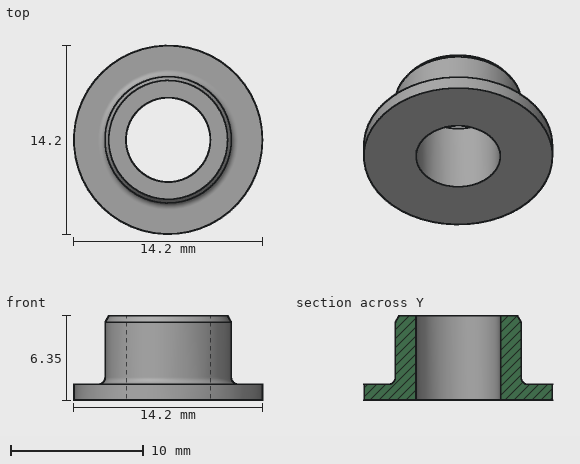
import cadquery as cq
import math

flange_diameter = 14.22
flange_thickness = 1.2
total_height = 6.35
barrel_diameter = 9.53
bore_diameter = 6.34

chamfer_height = 0.5
chamfer_angle = 30.0
chamfer_width = chamfer_height * math.tan(math.radians(chamfer_angle))

root_fillet_radius = 0.5

flange_radius = flange_diameter / 2
barrel_radius = barrel_diameter / 2
bore_radius = bore_diameter / 2
fillet_top = flange_thickness + root_fillet_radius

half_section = (
    cq.Workplane("XZ")
    .moveTo(bore_radius, 0)
    .lineTo(flange_radius, 0)
    .lineTo(flange_radius, flange_thickness)
    .lineTo(barrel_radius + root_fillet_radius, flange_thickness)
    .radiusArc((barrel_radius, fillet_top), root_fillet_radius)
    .lineTo(barrel_radius, total_height - chamfer_height)
    .lineTo(barrel_radius - chamfer_width, total_height)
    .lineTo(bore_radius, total_height)
    .close()
)

result = half_section.revolve(360, (0, 0, 0), (0, 1, 0))